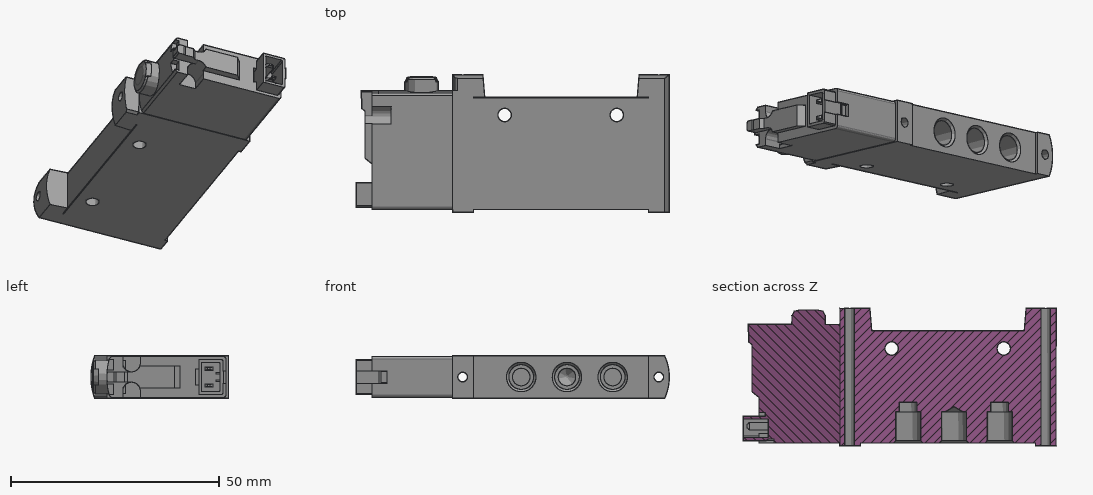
import cadquery as cq


LENGTH = 75.3
THICKNESS = 10.25
HALF_THICKNESS = THICKNESS / 2
HEIGHT = 33.1
CROWN_Y = 0.9
CROWN_X = 1.1
FLANGE_START = 23.2
FLANGE_WIDTH = 5.05
END_FLANGE_START = 70.25
BLOCK_FRONT = 0.7
BLOCK_BACK = 27.7
BLOCK_BACK_BEVEL = 0.15
EAR_TIP = 2.25
EAR_BASE = 2.7
FLANGE_HOLE_DIAMETER = 2.25
FLANGE_HOLE_XS = (25.6, 72.75)
MOUNT_HOLE_DIAMETER = 3.2
MOUNT_HOLE_XS = (35.7, 62.65)
MOUNT_HOLE_Y = 23.4
PORT_MIDDLE_X = 50.7
PORT_PITCH = 11.0
PORT_DIAMETER = 5.95
PORT_DEPTH = 7.5
PORT_MOUTH_DIAMETER = 7.1
PORT_MOUTH_DEPTH = 0.6
PORT_BORE_DIAMETER = 4.2
PORT_BORE_DEPTH = 2.25
PORT_CONE_DEPTH = 1.2
NOSE_DEPTH = 1.1
NOSE_CHAMFER_X = 0.6
NOSE_CHAMFER_Z = 0.5

PILOT_THICKNESS = 9.95
HALF_PILOT = PILOT_THICKNESS / 2
PILOT_FRONT = 0.7
PILOT_BACK = 29.3
PILOT_START = 3.8
CAP_END = 8.4
FRONT_EDGE_RADIUS = 0.7
BACK_CROWN = 0.6
BACK_BEVEL_Y = 0.5
BACK_BEVEL_Z = 0.6

GROOVE_DIAMETER = 4.2
GROOVE_Y = 23.35
WALL_POCKET_BOTTOM = 1.7
WALL_POCKET_TOP = 4.0
WALL_POCKET_FRONT = 24.85
WALL_POCKET_DEPTH = 0.75

CORNER_NOTCH_Y = 27.7
CORNER_NOTCH_BOTTOM = 1.7
CORNER_NOTCH_TOP = 4.2
CORNER_NOTCH_DEPTH = 1.6

LEVER_FACE = 2.1
LEVER_STEP = 1.35
LEVER_NOSE = 1.2
STEP_RAMP_START = 24.3
STEP_RAMP_END = 25.0
NOSE_RAMP_START = 27.1
NOSE_RAMP_END = 27.55
LEVER_WIDTH = 5.2
LEVER_END = 11.7
LEVER_RAMP = 1.35
NECK_WIDTH = 2.5
NECK_CHAMFER = 0.4

BUTTON_X = 15.75
BUTTON_DIAMETER = 8.1
BUTTON_TOP = 32.7
BUTTON_ROOT = 28.2
BUTTON_CROWN = 0.2
BUTTON_CROWN_DIAMETER = 4.5
BUTTON_RIM_BEVEL = 0.45
BUTTON_GRIP_START = 31.3
BUTTON_GRIP_WIDTH = 3.9
BUTTON_GRIP_BEVEL = 0.7

CONNECTOR_FRONT = 1.35
CONNECTOR_BACK = 7.15
CONNECTOR_WIDTH = 8.4
CONNECTOR_WALL = 0.7
CONNECTOR_CHAMFER = 0.3
SOCKET_DEPTH = 6.0
PIN_Y = 4.75
PIN_SPACING = 4.1
PIN_HEIGHT = 1.9
PIN_WIDTH = 0.8
PIN_LENGTH = 4.5
PIN_TIP_LENGTH = 0.6
PIN_TIP_HEIGHT = 0.6
KEY_RIB_SPACING = 1.8
KEY_RIB_THICKNESS = 0.4
KEY_RIB_HEIGHT = 1.0
LATCH_WIDTH = 3.0
LATCH_RAISE = 0.15
LATCH_END = 5.5
LATCH_NOTCH_END = 7.4
LATCH_POCKET_START = 5.95
LATCH_POCKET_WIDTH = 2.7
LATCH_POCKET_DEPTH = 1.0
RELIEF_WIDTH = 3.9
RELIEF_BACK = 8.0
RELIEF_DEPTH = 1.5


def box(x_range, y_range, z_range):
    """Box spanning the given (low, high) ranges."""
    size = [high - low for low, high in (x_range, y_range, z_range)]
    corner = (x_range[0], y_range[0], z_range[0])
    return cq.Workplane("XY").box(*size, centered=False).translate(corner)


def centred_box(x_range, y_range, width):
    """Box that is symmetric about mid-thickness."""
    return box(x_range, y_range, (-width / 2, width / 2))


def y_cylinder(x, diameter, y_start, y_end):
    """Cylinder along Y at mid-thickness."""
    disc = cq.Workplane("XZ", origin=(x, y_start, 0)).circle(diameter / 2)
    return disc.extrude(y_start - y_end)


def y_cone(x, diameter_start, diameter_end, y_start, y_end):
    """Cone frustum along Y at mid-thickness, for y_end > y_start."""
    solid = cq.Solid.makeCone(
        diameter_start / 2, diameter_end / 2, y_end - y_start, pnt=(x, y_start, 0), dir=(0, 1, 0)
    )
    return cq.Workplane(obj=solid)


def crowned_slab(x_start, x_end):
    """Full-thickness slab with its back bulging to the full height."""
    edge = HEIGHT - CROWN_Y
    profile = (
        cq.Workplane("YZ", origin=(x_start, 0, 0))
        .moveTo(0, -HALF_THICKNESS)
        .lineTo(edge, -HALF_THICKNESS)
        .threePointArc((HEIGHT, 0), (edge, HALF_THICKNESS))
        .lineTo(0, HALF_THICKNESS)
        .close()
    )
    return profile.extrude(x_end - x_start)


def crowned_end():
    """Envelope whose +X end bulges to the full length."""
    edge = LENGTH - CROWN_X
    profile = (
        cq.Workplane("XZ")
        .moveTo(0, -HALF_THICKNESS)
        .lineTo(edge, -HALF_THICKNESS)
        .threePointArc((LENGTH, 0), (edge, HALF_THICKNESS))
        .lineTo(0, HALF_THICKNESS)
        .close()
    )
    return profile.extrude(-HEIGHT)


def nose_envelope():
    """Envelope whose -X end is crowned and chamfered, for the flange part above the pilot."""
    edge_x = FLANGE_START + NOSE_DEPTH
    arc_x = edge_x - NOSE_CHAMFER_X
    arc_z = HALF_THICKNESS - NOSE_CHAMFER_Z
    profile = (
        cq.Workplane("XZ", origin=(0, PILOT_BACK, 0))
        .moveTo(LENGTH, -HALF_THICKNESS)
        .lineTo(edge_x, -HALF_THICKNESS)
        .lineTo(arc_x, -arc_z)
        .threePointArc((FLANGE_START, 0), (arc_x, arc_z))
        .lineTo(edge_x, HALF_THICKNESS)
        .lineTo(LENGTH, HALF_THICKNESS)
        .close()
    )
    return profile.extrude(PILOT_BACK - HEIGHT)


def ear(flange_face, direction):
    """Tapered ear that reaches from a flange along the back of the block."""
    tip = flange_face + direction * EAR_TIP
    base = flange_face + direction * EAR_BASE
    outline = (
        cq.Workplane("XY", origin=(0, 0, -HALF_THICKNESS))
        .polyline([(flange_face, BLOCK_BACK), (base, BLOCK_BACK), (tip, HEIGHT), (flange_face, HEIGHT)])
        .close()
        .extrude(THICKNESS)
    )
    return outline.intersect(crowned_slab(0, LENGTH))


def port(x, pointed):
    """Cutter for a countersunk port with a smaller bore, drill-pointed when asked."""
    mouth_end = BLOCK_FRONT + PORT_MOUTH_DEPTH
    port_end = BLOCK_FRONT + PORT_DEPTH
    bore_end = port_end + PORT_BORE_DEPTH
    cutter = (
        y_cone(x, PORT_MOUTH_DIAMETER, PORT_DIAMETER, BLOCK_FRONT, mouth_end)
        .union(y_cylinder(x, PORT_DIAMETER, BLOCK_FRONT, port_end))
    )
    if pointed:
        return cutter.union(y_cone(x, PORT_BORE_DIAMETER, 0, port_end, port_end + PORT_CONE_DEPTH))
    return cutter.union(y_cylinder(x, PORT_BORE_DIAMETER, port_end, bore_end))


def make_valve():
    flange_end = FLANGE_START + FLANGE_WIDTH
    flange = crowned_slab(FLANGE_START, flange_end)
    nose = flange.intersect(nose_envelope())
    flange = flange.cut(centred_box((0, LENGTH), (PILOT_BACK, HEIGHT), THICKNESS)).union(nose)
    end_flange = crowned_slab(END_FLANGE_START, LENGTH).intersect(crowned_end())
    block = centred_box((flange_end, END_FLANGE_START), (BLOCK_FRONT, BLOCK_BACK), THICKNESS)
    block = block.faces(">Y").edges("|X").chamfer(BLOCK_BACK_BEVEL)
    valve = (
        block.union(flange)
        .union(end_flange)
        .union(ear(flange_end, 1))
        .union(ear(END_FLANGE_START, -1))
    )
    for x in FLANGE_HOLE_XS:
        valve = valve.cut(y_cylinder(x, FLANGE_HOLE_DIAMETER, 0, HEIGHT))
    for x in MOUNT_HOLE_XS:
        hole = cq.Workplane("XY", origin=(x, MOUNT_HOLE_Y, -HALF_THICKNESS))
        valve = valve.cut(hole.circle(MOUNT_HOLE_DIAMETER / 2).extrude(THICKNESS))
    for index in (-1, 0, 1):
        valve = valve.cut(port(PORT_MIDDLE_X + index * PORT_PITCH, pointed=index == 0))
    return valve


def pilot_case():
    """Pilot block with rounded front edges, a crowned back and bevelled back corners."""
    crown_y = PILOT_BACK - BACK_CROWN
    crown_z = HALF_PILOT - BACK_BEVEL_Z
    profile = (
        cq.Workplane("YZ", origin=(PILOT_START, 0, 0))
        .moveTo(PILOT_FRONT, -HALF_PILOT)
        .lineTo(crown_y - BACK_BEVEL_Y, -HALF_PILOT)
        .lineTo(crown_y, -crown_z)
        .threePointArc((PILOT_BACK, 0), (crown_y, crown_z))
        .lineTo(crown_y - BACK_BEVEL_Y, HALF_PILOT)
        .lineTo(PILOT_FRONT, HALF_PILOT)
        .close()
    )
    case = profile.extrude(FLANGE_START - PILOT_START)
    return case.faces("<Y").edges("|X").fillet(FRONT_EDGE_RADIUS)


def lever():
    """Locking lever: a wide plate with a narrow neck that runs to the back edge."""
    side = (
        cq.Workplane("XY", origin=(0, 0, -LEVER_WIDTH / 2))
        .polyline([
            (PILOT_START, LEVER_END),
            (LEVER_FACE, LEVER_END + LEVER_RAMP),
            (LEVER_FACE, STEP_RAMP_START),
            (LEVER_STEP, STEP_RAMP_END),
            (LEVER_STEP, NOSE_RAMP_START),
            (LEVER_NOSE, NOSE_RAMP_END),
            (LEVER_NOSE, PILOT_BACK),
            (PILOT_START, PILOT_BACK),
        ])
        .close()
        .extrude(LEVER_WIDTH)
    )
    plate = centred_box((0, PILOT_START), (LEVER_END, GROOVE_Y), LEVER_WIDTH)
    neck = centred_box((0, PILOT_START), (GROOVE_Y, PILOT_BACK), NECK_WIDTH)
    neck = neck.faces(">Y").edges("|X").chamfer(NECK_CHAMFER)
    return side.intersect(plate.union(neck))


def groove(side):
    """Cutter for the round-bottomed groove across the cap, on the +Z or -Z side."""
    radius = GROOVE_DIAMETER / 2
    axis_z = NECK_WIDTH / 2 + radius
    tube = cq.Workplane("YZ").center(GROOVE_Y, side * axis_z).circle(radius).extrude(CAP_END)
    low, high = sorted((side * axis_z, side * THICKNESS))
    return tube.union(box((0, CAP_END), (GROOVE_Y - radius, GROOVE_Y + radius), (low, high)))


def corner_notch(side):
    """Cutter for the notch in the back corner of the cap."""
    low, high = sorted((side * CORNER_NOTCH_BOTTOM, side * CORNER_NOTCH_TOP))
    x_range = (PILOT_START, PILOT_START + CORNER_NOTCH_DEPTH)
    return box(x_range, (CORNER_NOTCH_Y, PILOT_BACK), (low, high))


def wall_pocket(side):
    """Cutter for the small pocket in the end wall of the groove."""
    low, high = sorted((side * WALL_POCKET_BOTTOM, side * WALL_POCKET_TOP))
    y_range = (WALL_POCKET_FRONT, GROOVE_Y + GROOVE_DIAMETER / 2)
    return box((CAP_END, CAP_END + WALL_POCKET_DEPTH), y_range, (low, high))


def button():
    """Round crowned override button with a bevelled grip on its -X and +X sides."""
    radius = BUTTON_DIAMETER / 2
    rim_radius = radius - BUTTON_RIM_BEVEL
    rim_y = BUTTON_TOP - BUTTON_CROWN
    knob = (
        y_cylinder(BUTTON_X, BUTTON_DIAMETER, BUTTON_ROOT, rim_y - BUTTON_RIM_BEVEL)
        .union(y_cone(BUTTON_X, BUTTON_DIAMETER, 2 * rim_radius, rim_y - BUTTON_RIM_BEVEL, rim_y))
        .union(y_cone(BUTTON_X, 2 * rim_radius, BUTTON_CROWN_DIAMETER, rim_y, BUTTON_TOP))
    )
    grip_x = (BUTTON_X - radius, BUTTON_X + radius)
    grip = centred_box(grip_x, (BUTTON_GRIP_START, BUTTON_TOP), BUTTON_GRIP_WIDTH)
    grip_top_diameter = BUTTON_DIAMETER - 2 * BUTTON_GRIP_BEVEL
    core = y_cone(BUTTON_X, BUTTON_DIAMETER, grip_top_diameter, BUTTON_GRIP_START, BUTTON_TOP)
    return knob.cut(grip.cut(core))


def latch_notch():
    """Cutter for the latch notch, deeper at its far end."""
    notch = centred_box((PILOT_START, LATCH_NOTCH_END), (PILOT_FRONT, CONNECTOR_FRONT), LATCH_WIDTH)
    pocket_y = (PILOT_FRONT, PILOT_FRONT + LATCH_POCKET_DEPTH)
    return notch.union(centred_box((LATCH_POCKET_START, LATCH_NOTCH_END), pocket_y, LATCH_POCKET_WIDTH))


def relief():
    """Cutter for the shallow relief beside the back of the connector."""
    x_range = (PILOT_START, PILOT_START + RELIEF_DEPTH)
    return centred_box(x_range, (CONNECTOR_BACK, RELIEF_BACK), RELIEF_WIDTH)


def connector_shell():
    shell = centred_box((0, PILOT_START), (CONNECTOR_FRONT, CONNECTOR_BACK), CONNECTOR_WIDTH)
    shell = shell.faces("<Y").edges("|X").chamfer(CONNECTOR_CHAMFER)
    latch = centred_box((0, LATCH_END), (CONNECTOR_FRONT - LATCH_RAISE, CONNECTOR_FRONT), LATCH_WIDTH)
    return shell.union(latch)


def connector_socket():
    """Cutter for the connector's open socket."""
    y_range = (CONNECTOR_FRONT + CONNECTOR_WALL, CONNECTOR_BACK - CONNECTOR_WALL)
    socket = centred_box((0, SOCKET_DEPTH), y_range, CONNECTOR_WIDTH - 2 * CONNECTOR_WALL)
    return socket.faces("<Y").edges("|X").chamfer(CONNECTOR_CHAMFER)


def contact_pin(z):
    """Flat contact pin with a tapered tip, rising from the socket floor."""
    pin = (
        cq.Workplane("YZ", origin=(SOCKET_DEPTH, PIN_Y, z))
        .rect(PIN_HEIGHT, PIN_WIDTH)
        .extrude(-PIN_LENGTH)
    )
    tip = (
        pin.faces("<X").workplane(centerOption="CenterOfMass")
        .rect(PIN_HEIGHT, PIN_WIDTH)
        .workplane(offset=PIN_TIP_LENGTH)
        .rect(PIN_TIP_HEIGHT, PIN_WIDTH / 2)
        .loft(combine=False)
    )
    return pin.union(tip)


def key_rib(z):
    """Small rib on the front wall of the socket."""
    wall = CONNECTOR_FRONT + CONNECTOR_WALL
    half = KEY_RIB_THICKNESS / 2
    return box((PILOT_START, SOCKET_DEPTH), (wall, wall + KEY_RIB_HEIGHT), (z - half, z + half))


def make_pilot():
    pilot = pilot_case().union(lever())
    for side in (-1, 1):
        pilot = pilot.cut(groove(side)).cut(wall_pocket(side)).cut(corner_notch(side))
    pilot = pilot.cut(latch_notch()).cut(relief())
    pilot = pilot.union(button()).union(connector_shell()).cut(connector_socket())
    for side in (-1, 1):
        pilot = pilot.union(contact_pin(side * PIN_SPACING / 2))
        pilot = pilot.union(key_rib(side * KEY_RIB_SPACING / 2))
    return pilot


valve = make_valve()
pilot = make_pilot()
result = cq.Compound.makeCompound([valve.solids().val(), pilot.solids().val()])